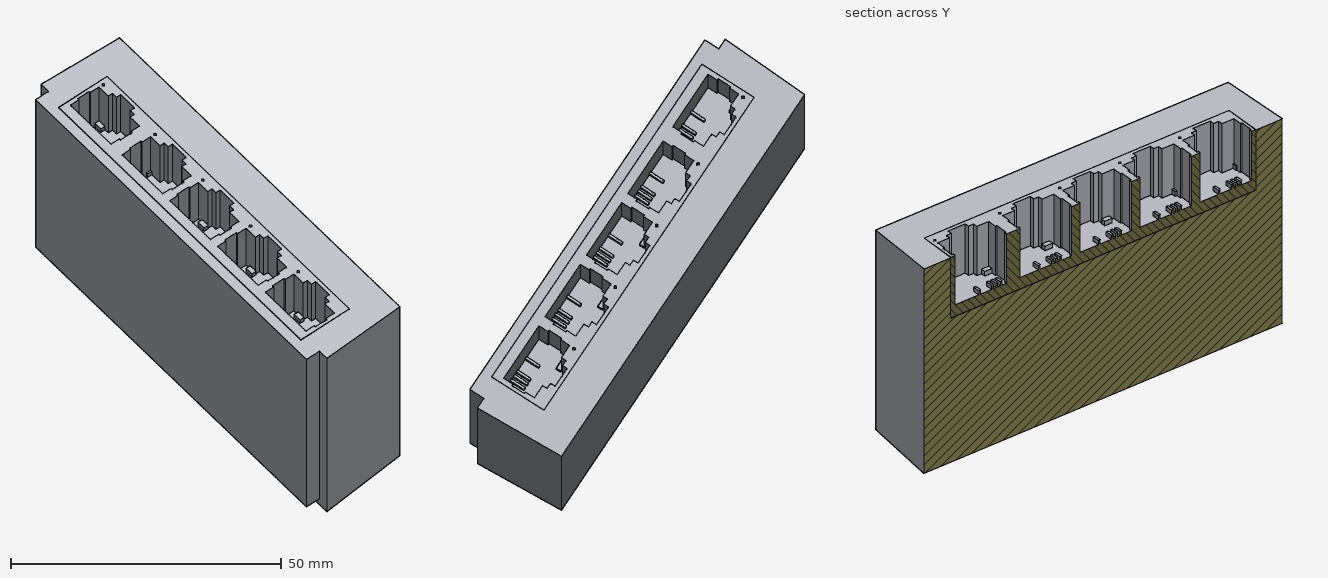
import cadquery as cq
import math


WIDTH = 83.8
HEIGHT = 45.75
SHELL_DEPTH = 18.1
SIDE_DRAFT = math.radians(2.5)
TOP_DRAFT = math.radians(0.8)
BOTTOM_DRAFT = math.radians(5.0)
PLATE_THICKNESS = 3.1
PLATE_SIDE_INSET = 2.2
PLATE_BOTTOM_INSET = 1.8

BLOCK_HALF_WIDTH = 35.5
MODULE_SEAM_X = -21.1
BLOCK_FRONT_Y = -1.0
BLOCK_REAR_Y = 10.6
FLAT_TOP_REAR_Y = 10.05
BLOCK_DEPTH = 13.4

SINGLE_PORT_X = -28.6
GANG_FIRST_PORT_X = -13.4
GANG_PITCH = 14.0
GANG_PORTS = 4
PORT_DEPTH = 10.9

MOUTH_HALF_WIDTH = 5.95
BULGE_HALF_WIDTH = 6.3
SHOULDER_HALF_WIDTH = 3.2
LATCH_HALF_WIDTH = 2.0
MOUTH_FRONT_Y = 1.0
BULGE_FRONT_Y = 3.0
BULGE_REAR_Y = 5.8
MOUTH_REAR_Y = 7.8
SHOULDER_REAR_Y = 8.8
LATCH_REAR_Y = 9.8

CONTACT_WIDTH = 0.5
CONTACT_PITCH = 1.0
CONTACT_PLACES = 8
USED_PLACES = (2, 5, 6, 7)
CONTACT_REAR_Y = 4.0
CONTACT_HEIGHT = 0.8
CONTACT_TILT = math.radians(3.0)
SINGLE_CONTACT_SHIFT = 1.25

TAB_WIDTH = 1.8
TAB_FRONT_Y = 6.8
TAB_HEIGHT = 1.0
SINGLE_TAB_OFFSETS = (-5.0, 5.1)
GANG_TAB_OFFSETS = ((-6.45, 4.0), (-3.9, 3.9), (-3.85, 6.4), (-3.8, 6.6))

LIGHT_DIAMETER = 0.51
LIGHT_OFFSET_X = -5.9
LIGHT_Y = 8.8
LIGHT_DEPTH = 0.8

shell_front_z = HEIGHT - SHELL_DEPTH * math.tan(TOP_DRAFT)
block_top_z = shell_front_z + FLAT_TOP_REAR_Y * math.tan(TOP_DRAFT)
strip_rear_z = shell_front_z + BLOCK_REAR_Y * math.tan(TOP_DRAFT)
block_bottom_z = block_top_z - BLOCK_DEPTH
floor_z = block_top_z - PORT_DEPTH


def box(x0, x1, y0, y1, z0, z1):
    return cq.Workplane("XY").box(x1 - x0, y1 - y0, z1 - z0, centered=False).translate((x0, y0, z0))


def side_prism(points, x0, x1):
    """Prism along X from an outline given as (Y, Z) points."""
    return cq.Workplane("YZ").polyline(points).close().extrude(x1 - x0).translate((x0, 0, 0))


def make_module(x0, x1):
    """Blank of one connector module: flat top, with a rear strip that follows the shell."""
    outline = [
        (BLOCK_FRONT_Y, block_bottom_z),
        (BLOCK_FRONT_Y, block_top_z),
        (FLAT_TOP_REAR_Y, block_top_z),
        (BLOCK_REAR_Y, strip_rear_z),
        (BLOCK_REAR_Y, block_bottom_z),
    ]
    return side_prism(outline, x0, x1)


def make_shell():
    """Shell that narrows to the rear on its sides and bottom and rises slightly on top."""
    half_front = WIDTH / 2
    half_rear = half_front - SHELL_DEPTH * math.tan(SIDE_DRAFT)
    plan = [
        (-half_front, 0),
        (half_front, 0),
        (half_rear, SHELL_DEPTH),
        (-half_rear, SHELL_DEPTH),
    ]
    profile = [
        (0, 0),
        (0, shell_front_z),
        (SHELL_DEPTH, HEIGHT),
        (SHELL_DEPTH, SHELL_DEPTH * math.tan(BOTTOM_DRAFT)),
    ]
    tapered_sides = cq.Workplane("XY").polyline(plan).close().extrude(HEIGHT)
    return tapered_sides.intersect(side_prism(profile, -half_front, half_front))


def make_plate():
    half_width = WIDTH / 2 - PLATE_SIDE_INSET
    return box(-half_width, half_width, -PLATE_THICKNESS, 0, PLATE_BOTTOM_INSET, shell_front_z)


def make_enclosure():
    recess = make_module(-BLOCK_HALF_WIDTH, BLOCK_HALF_WIDTH)
    return make_shell().union(make_plate()).cut(recess)


def make_mouth(port_x):
    """Stepped opening of one port, mirrored about its own centre line."""
    right_side = [
        (MOUTH_HALF_WIDTH, MOUTH_FRONT_Y),
        (MOUTH_HALF_WIDTH, BULGE_FRONT_Y),
        (BULGE_HALF_WIDTH, BULGE_FRONT_Y),
        (BULGE_HALF_WIDTH, BULGE_REAR_Y),
        (MOUTH_HALF_WIDTH, BULGE_REAR_Y),
        (MOUTH_HALF_WIDTH, MOUTH_REAR_Y),
        (SHOULDER_HALF_WIDTH, MOUTH_REAR_Y),
        (SHOULDER_HALF_WIDTH, SHOULDER_REAR_Y),
        (LATCH_HALF_WIDTH, SHOULDER_REAR_Y),
        (LATCH_HALF_WIDTH, LATCH_REAR_Y),
    ]
    left_side = [(-x, y) for x, y in reversed(right_side)]
    outline = cq.Workplane("XY").polyline(right_side + left_side).close()
    return outline.extrude(PORT_DEPTH).translate((port_x, 0, floor_z))


def make_contact(contact_x):
    """Bar on the port floor whose top falls from the front wall to the rear."""
    rear_z = floor_z + CONTACT_HEIGHT
    front_z = rear_z + (CONTACT_REAR_Y - MOUTH_FRONT_Y) * math.tan(CONTACT_TILT)
    outline = [
        (MOUTH_FRONT_Y, floor_z),
        (MOUTH_FRONT_Y, front_z),
        (CONTACT_REAR_Y, rear_z),
        (CONTACT_REAR_Y, floor_z),
    ]
    return side_prism(outline, contact_x - CONTACT_WIDTH / 2, contact_x + CONTACT_WIDTH / 2)


def make_tab(tab_x):
    half_width = TAB_WIDTH / 2
    top_z = floor_z + TAB_HEIGHT
    return box(tab_x - half_width, tab_x + half_width, TAB_FRONT_Y, MOUTH_REAR_Y, floor_z, top_z)


def add_port(module, port_x, tab_offsets, contact_shift):
    """Cut one port and its light hole, then add its contacts and stop tabs."""
    light_x = port_x + LIGHT_OFFSET_X
    light = cq.Workplane("XY").circle(LIGHT_DIAMETER / 2).extrude(LIGHT_DEPTH)
    light = light.translate((light_x, LIGHT_Y, block_top_z - LIGHT_DEPTH))
    mouth = make_mouth(port_x)
    module = module.cut(mouth).cut(light)
    for place in USED_PLACES:
        place_offset = (place - (CONTACT_PLACES - 1) / 2) * CONTACT_PITCH
        module = module.union(make_contact(port_x + contact_shift + place_offset))
    for offset in tab_offsets:
        module = module.union(make_tab(port_x + offset).intersect(mouth))
    return module


def make_connector_block():
    single = make_module(-BLOCK_HALF_WIDTH, MODULE_SEAM_X)
    single = add_port(single, SINGLE_PORT_X, SINGLE_TAB_OFFSETS, SINGLE_CONTACT_SHIFT)
    gang = make_module(MODULE_SEAM_X, BLOCK_HALF_WIDTH)
    for index in range(GANG_PORTS):
        port_x = GANG_FIRST_PORT_X + index * GANG_PITCH
        gang = add_port(gang, port_x, GANG_TAB_OFFSETS[index], 0)
    return single.union(gang, clean=False)


enclosure = make_enclosure()
connector_block = make_connector_block()

result = cq.Compound.makeCompound([enclosure.val(), connector_block.val()])